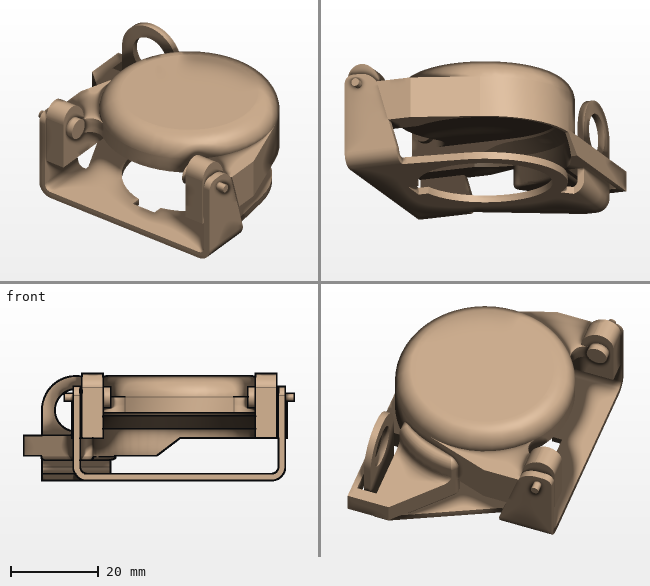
import cadquery as cq
import math

sheet = 1.6
bend_outer = 3.15
bend_inner = bend_outer - sheet
front_y = -24.8

pin_y = -21.4
pin_z = 19.0
pin_radius = 0.9
pin_tip_x = 26.25
pin_head_radius = 2.4
pin_head_x = 15.6
knuckle_inner_x = 17.35
knuckle_outer_x = 22.25
knuckle_back_y = -17.0
knuckle_top = 24.45
knuckle_front_radius = 3.2
knuckle_crest_y = -20.15

ear_x = 24.2
ear_top = 21.5
ear_slope_start = (-12.1, bend_outer)
ear_slope_end = (-17.5, ear_top)
ear_front_fillet = 2.0
ear_back_fillet = 4.95
ear_relief_y = -11.2
plate_neck_x = 20.45
plate_radius = 18.9
plate_left_y = 12.1
plate_hole_radius = 15.45
notch_width = 6.2
notch_y = -17.55

tab_center_x = -23.5
tab_radius = 7.85
tab_back_y = 18.1
tab_center_z = 16.05
tab_hole_radius = 4.8
tab_flare_y = 15.6

cover_radius = 20.55
cover_top = 23.95
cover_edge_radius = 4.8
cover_bottom = 9.7
wing_top = cover_top - cover_edge_radius
wing_x = 24.6
wing_corner_y = -8.5
cavity_radius = 19.75
cavity_step_z = 11.85
cavity_top_radius = 17.3
cavity_cone_top = 14.8
cavity_roof = 15.45
corner_relief_radius = 3.1

arm_left_x = -35.5
arm_bottom = 5.6
arm_top = 10.3
arm_corner_y = 10.6
arm_tip = (-13.6, -9.6)
arm_slope_x = (-5.2, 0.2)
arm_tip_fillet = 1.9
slot_x = (-32.7, -14.65)
slot_y = (14.6, 19.3)

housing_radius = 19.3
housing_center_x = -4.3
housing_inner_x = -14.2
housing_top = 16.85
housing_top_fillet = 2.5
housing_foot_fillet = 1.55
lip_bottom = 4.7
lip_edge_radius = 0.75
lip_left_x = -31.5
lip_back_y = 13.45


def block(x, y, z):
    """Box between pairs of limits along each axis."""
    return (
        cq.Workplane("XY")
        .box(x[1] - x[0], y[1] - y[0], z[1] - z[0], centered=False)
        .translate((x[0], y[0], z[0]))
    )


def disc(radius, z_low, z_high):
    return cq.Workplane("XY").workplane(offset=z_low).circle(radius).extrude(z_high - z_low)


def prism(points, z_low, z_high):
    return cq.Workplane("XY").workplane(offset=z_low).polyline(points).close().extrude(z_high - z_low)


def rod(radius, x_start, x_end):
    """Cylinder on the hinge line."""
    return (
        cq.Workplane("YZ").workplane(offset=x_start)
        .center(pin_y, pin_z).circle(radius).extrude(x_end - x_start)
    )


def tangent_point(corner, radius, side):
    """Point where the line from corner touches a circle about the origin."""
    reach = math.hypot(*corner)
    angle = math.atan2(corner[1], corner[0]) + side * math.acos(radius / reach)
    return (radius * math.cos(angle), radius * math.sin(angle))


def mirrored(solid):
    return solid.union(solid.mirror("YZ"))


def ear_outline():
    """Side shape of a hinge ear, drawn through the whole width."""
    ear = (
        cq.Workplane("YZ").workplane(offset=-ear_x)
        .polyline([
            (front_y, 0),
            (ear_slope_start[0], 0),
            ear_slope_start,
            ear_slope_end,
            (front_y, ear_top),
        ])
        .close().extrude(2 * ear_x)
    )
    ear = ear.edges(cq.selectors.NearestToPointSelector((0, front_y, ear_top))).fillet(ear_front_fillet)
    back_corner = (0, *ear_slope_end)
    return ear.edges(cq.selectors.NearestToPointSelector(back_corner)).fillet(ear_back_fillet)


def base_channel(ears):
    """U-shaped front of the base with its two hinge ears."""
    y_range = (front_y, ear_slope_start[0])
    outer = block((-ear_x, ear_x), y_range, (0, ear_top)).edges("|Y and <Z").fillet(bend_outer)
    inner_x = ear_x - sheet
    inner = block((-inner_x, inner_x), y_range, (sheet, ear_top))
    inner = inner.edges("|Y and <Z").fillet(bend_inner)
    return outer.cut(inner).intersect(ears)


def base_plate():
    """Flat plate behind the channel, with its round hole and key notch."""
    right_touch = tangent_point((plate_neck_x, ear_relief_y), plate_radius, 1)
    tab_left = tab_center_x - tab_radius
    tab_right = tab_center_x + tab_radius
    tab_bend_y = tab_back_y - bend_outer
    plate = prism([
        (-plate_neck_x, ear_slope_start[0]),
        (plate_neck_x, ear_slope_start[0]),
        (plate_neck_x, ear_relief_y),
        right_touch,
        (0, 0),
        (tab_right + tab_flare_y, 0),
        (tab_right, tab_flare_y),
        (tab_right, tab_bend_y),
        (tab_left, tab_bend_y),
        (tab_left, plate_left_y),
        (-plate_neck_x, ear_relief_y),
    ], 0, sheet)
    return plate.union(disc(plate_radius, 0, sheet))


def hasp_tab():
    """Upright eye bent up from the left rear of the plate."""
    strip = (
        cq.Workplane("YZ").workplane(offset=tab_center_x - tab_radius)
        .moveTo(tab_back_y - bend_outer, 0)
        .radiusArc((tab_back_y, bend_outer), -bend_outer)
        .lineTo(tab_back_y, tab_center_z)
        .lineTo(tab_back_y - sheet, tab_center_z)
        .lineTo(tab_back_y - sheet, bend_outer)
        .radiusArc((tab_back_y - bend_outer, sheet), bend_inner)
        .close().extrude(2 * tab_radius)
    )

    def eye_disc(radius):
        return (
            cq.Workplane("XZ").workplane(offset=-tab_back_y)
            .center(tab_center_x, tab_center_z).circle(radius).extrude(sheet)
        )

    return strip.union(eye_disc(tab_radius)).cut(eye_disc(tab_hole_radius))


def make_base(ears):
    base = base_channel(ears).union(base_plate()).union(hasp_tab())
    notch = block((-notch_width / 2, notch_width / 2), (notch_y, 0), (0, sheet))
    return base.cut(disc(plate_hole_radius, 0, sheet)).cut(notch)


def knuckle():
    """Right hinge knuckle with its two-radius crest."""
    crest_y = front_y + knuckle_front_radius
    arc_z = knuckle_top - knuckle_front_radius
    lean = math.asin((knuckle_crest_y - crest_y) / knuckle_front_radius)
    crest_z = arc_z + knuckle_front_radius * math.cos(lean)
    back_radius = (knuckle_back_y - knuckle_crest_y) / (1 - math.sin(lean))
    back_z = crest_z - back_radius * math.cos(lean)
    return (
        cq.Workplane("YZ").workplane(offset=knuckle_inner_x)
        .moveTo(front_y, cover_bottom)
        .lineTo(front_y, arc_z)
        .radiusArc((knuckle_crest_y, crest_z), knuckle_front_radius)
        .radiusArc((knuckle_back_y, back_z), back_radius)
        .lineTo(knuckle_back_y, cover_bottom)
        .close().extrude(knuckle_outer_x - knuckle_inner_x)
    )


def wings():
    """Flat flanks joining the round cover to the knuckles."""
    touch = tangent_point((wing_x, wing_corner_y), cover_radius, 1)
    relief_x = knuckle_inner_x - corner_relief_radius
    relief_y = -math.sqrt((cover_radius + corner_relief_radius) ** 2 - relief_x ** 2)
    wing = prism([
        (0, 0),
        touch,
        (wing_x, wing_corner_y),
        (wing_x, knuckle_back_y),
        (knuckle_inner_x, knuckle_back_y),
        (knuckle_inner_x, relief_y),
        (relief_x, relief_y),
    ], cover_bottom, wing_top)
    corner = disc(corner_relief_radius, cover_bottom, wing_top).translate((relief_x, relief_y, 0))
    return mirrored(wing.cut(corner))


def cover_body(ears):
    dome = disc(cover_radius, cover_bottom, cover_top).faces(">Z").edges().fillet(cover_edge_radius)
    ear_zone = ears.intersect(
        block((knuckle_outer_x, ear_x), (front_y, 0), (0, ear_top))
    )
    clearance = ear_zone.union(ear_zone.translate((wing_x - ear_x, 0, 0)))
    return dome.union(wings().cut(mirrored(clearance))).union(mirrored(knuckle()))


def arm_blank(z_low, z_high):
    """Arm shape running on into the cover."""
    return prism([
        (arm_left_x, cover_radius),
        (arm_left_x, arm_corner_y),
        arm_tip,
        (0, 0),
        (arm_slope_x[1], cover_radius),
    ], z_low, z_high)


def arm_outline(z_low, z_high):
    """Arm shape around the cavity, with its thin front tip rounded."""
    arm = arm_blank(z_low, z_high).cut(disc(cavity_radius, z_low, z_high))
    tip_edge = cq.selectors.NearestToPointSelector((*arm_tip, (z_low + z_high) / 2))
    return arm.edges("|Z").edges(tip_edge).fillet(arm_tip_fillet)


def arm_slab():
    """Side arm whose lower edge rises to the cover at the rear."""
    slab = arm_outline(arm_bottom, arm_top)
    rise = (
        cq.Workplane("XZ").workplane(offset=-cover_radius)
        .polyline([
            (arm_slope_x[0], arm_bottom),
            (arm_slope_x[1], cover_bottom),
            (arm_slope_x[1], arm_bottom),
        ])
        .close().extrude(2 * cover_radius)
    )
    return slab.cut(rise)


def arm_lip():
    """Shallow pad under the arm with rounded lower edges."""
    lip = arm_outline(lip_bottom, arm_bottom).intersect(
        block((lip_left_x, 0), (arm_tip[1], lip_back_y), (lip_bottom, arm_bottom))
    )
    return lip.faces("<Z").edges().fillet(lip_edge_radius)


def housing():
    """Rounded raised wall beside the cover, with a curved foot on the arm."""
    foot_z = arm_top + housing_foot_fillet
    shoulder_z = housing_top - housing_top_fillet
    ring = (
        cq.Workplane("XZ")
        .moveTo(0, arm_top)
        .lineTo(housing_radius + housing_foot_fillet, arm_top)
        .radiusArc((housing_radius, foot_z), housing_foot_fillet)
        .lineTo(housing_radius, shoulder_z)
        .radiusArc((housing_radius - housing_top_fillet, housing_top), -housing_top_fillet)
        .lineTo(0, housing_top)
        .close().revolve(360, (0, 0, 0), (0, 1, 0))
        .translate((housing_center_x, 0, 0))
    )
    foot_left_x = housing_center_x - housing_radius - housing_foot_fillet
    ends = arm_blank(arm_top, housing_top).intersect(
        block((foot_left_x, housing_inner_x), (arm_tip[1], slot_y[0]), (arm_top, housing_top))
    )
    ends = ends.faces(">Z").edges("not |Y").fillet(housing_top_fillet)
    return ring.intersect(ends)


def cavity():
    """Stepped round hollow under the cover, open toward the front."""
    hollow = (
        cq.Workplane("XZ")
        .polyline([
            (0, 0),
            (cavity_radius, 0),
            (cavity_radius, cavity_step_z),
            (cavity_top_radius, cavity_cone_top),
            (cavity_top_radius, cavity_roof),
            (0, cavity_roof),
        ])
        .close().revolve(360, (0, 0, 0), (0, 1, 0))
    )
    mouth = block((-knuckle_inner_x, knuckle_inner_x), (front_y, 0), (0, cavity_roof))
    return hollow.union(mouth)


def make_cover(ears):
    cover = cover_body(ears).union(housing()).union(arm_slab()).union(arm_lip())
    slot = block(slot_x, slot_y, (0, arm_top))
    return cover.cut(slot).cut(cavity())


def make_pins():
    shaft = rod(pin_radius, pin_head_x, pin_tip_x)
    head = rod(pin_head_radius, pin_head_x, knuckle_inner_x)
    return mirrored(shaft.union(head))


ears = ear_outline()
result = make_base(ears).union(make_cover(ears)).union(make_pins())